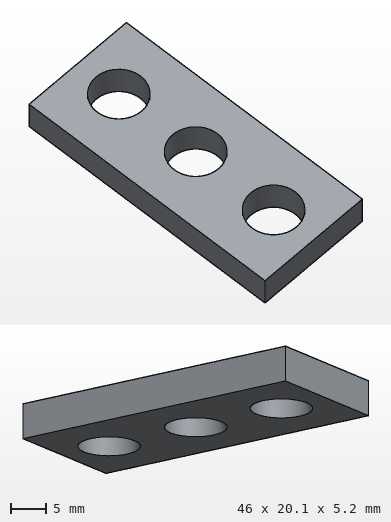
import cadquery as cq

length = 45.95
width = 20.1
thickness = 5.2

hole_diameter = 8.85
left_spacing = 15.0
right_spacing = 15.15
hole_centers = [(-left_spacing, 0), (0, 0), (right_spacing, 0)]

plate = cq.Workplane("XY").box(length, width, thickness)

result = (
    plate.faces(">Z")
    .workplane()
    .pushPoints(hole_centers)
    .hole(hole_diameter)
)